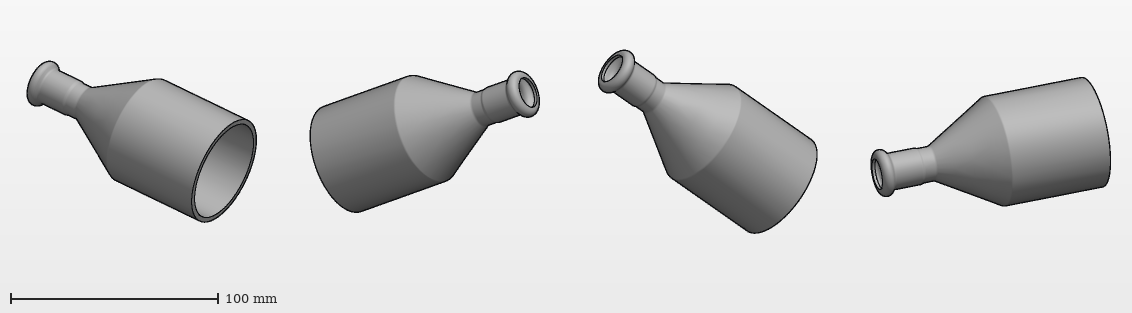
import cadquery as cq
import math

total_length = 110.0
socket_start = 7.4
socket_end = 20.2
step_flat_start = 21.1
step_flat_end = 21.5
neck_start = 22.2
neck_end = 27.2
cone_start = 28.3
cone_end = 59.5
body_start = 60.4

bead_radius = 23.1 / 2
bead_round = 3.0
socket_radius = 18.0 / 2
neck_radius = 17.0 / 2
body_radius = 54.0 / 2

wall = 1.5
bore_radius = socket_radius - wall
throat_radius = 6.0
body_wall = neck_radius - throat_radius
body_bore_radius = body_radius - body_wall

flank_angle = math.radians(45)
step_angle = math.radians(24)
cone_angle = math.radians(30)

flank_fillet = 1.9
bead_centre_radius = bead_radius - bead_round


def bend_rise(length, angle):
    """Radial change of an arc that turns from the axis direction to the given slope."""
    return length * math.tan(angle / 2)


def bead_flank(profile, round_radius, fillet_radius, base_radius):
    """Draw from the front of a bead round, over its crest and down to the cylinder behind it."""
    fillet_length = fillet_radius * math.sin(flank_angle)
    flank_top = (
        bead_round + round_radius * math.sin(flank_angle),
        bead_centre_radius + round_radius * math.cos(flank_angle),
    )
    flank_bottom = (
        socket_start - fillet_length,
        base_radius + bend_rise(fillet_length, flank_angle),
    )
    crest = (bead_round, bead_centre_radius + round_radius)
    return (
        profile.threePointArc(crest, flank_top)
        .lineTo(*flank_bottom)
        .tangentArcPoint((socket_start, base_radius), relative=False)
    )


def revolve_about_x(profile):
    """Close a half profile down to the X axis and revolve it."""
    return profile.lineTo(total_length, 0).close().revolve(360, (0, 0, 0), (1, 0, 0))


def build_outside():
    """Beaded socket, neck, cone and cylindrical body as one solid."""
    step_top = socket_radius - bend_rise(step_flat_start - socket_end, step_angle)
    step_bottom = neck_radius + bend_rise(neck_start - step_flat_end, step_angle)
    cone_small_radius = neck_radius + bend_rise(cone_start - neck_end, cone_angle)
    cone_large_radius = body_radius - bend_rise(body_start - cone_end, cone_angle)

    profile = cq.Workplane("XY").moveTo(0, 0).lineTo(0, bead_centre_radius)
    profile = bead_flank(profile, bead_round, flank_fillet, socket_radius)
    profile = (
        profile.lineTo(socket_end, socket_radius)
        .tangentArcPoint((step_flat_start, step_top), relative=False)
        .lineTo(step_flat_end, step_bottom)
        .tangentArcPoint((neck_start, neck_radius), relative=False)
        .lineTo(neck_end, neck_radius)
        .tangentArcPoint((cone_start, cone_small_radius), relative=False)
        .lineTo(cone_end, cone_large_radius)
        .tangentArcPoint((body_start, body_radius), relative=False)
        .lineTo(total_length, body_radius)
    )
    return revolve_about_x(profile)


def build_inside():
    """Socket bore with a seal groove inside the bead, narrow throat and hollow body."""
    groove_round = bead_round - wall
    groove_front = bead_round - groove_round

    profile = (
        cq.Workplane("XY")
        .moveTo(0, 0)
        .lineTo(0, bore_radius)
        .lineTo(groove_front, bore_radius)
        .lineTo(groove_front, bead_centre_radius)
    )
    profile = bead_flank(profile, groove_round, flank_fillet + wall, bore_radius)
    profile = (
        profile.lineTo(socket_end, bore_radius)
        .lineTo(socket_end, throat_radius)
        .lineTo(cone_start, throat_radius)
        .lineTo(body_start, body_bore_radius)
        .lineTo(total_length, body_bore_radius)
    )
    return revolve_about_x(profile)


result = build_outside().cut(build_inside())